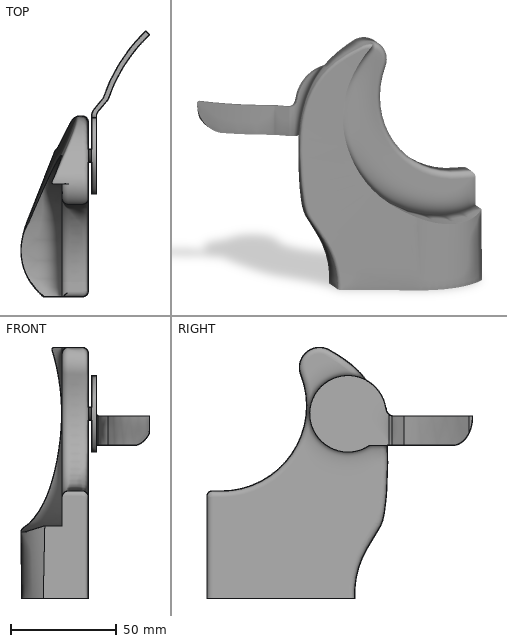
import cadquery as cq
import math

body_height = 119.2
plate_thickness = 12.5
bulge_reach = 37.8
edge_radius = 3.0
flank_radius = 1.5
front_top = 51.1
hook_tip = (53.5, body_height)
tip_radius = 9.6
throat_radius = 40.4
corner_radius = 2.5
tip_wrap = math.radians(29)
rear_curve = [(76.0, 103.0), (83.4, 87.1), (85.8, 60.5), (83.4, 36.8), (75.9, 23.6)]
waist_lean = math.radians(30)
base_depth = 70.2
overlap = 1.3

pivot_y = 67.0
pivot_z = 87.6
disc_radius = 18.2
pin_diameter = 6.3
sheet = 2.4
disc_gap = 1.5
lever_end = 126.1
arm_bottom = 72.6
arm_top = 86.6
flare = 3.5
tip_round_y = 9.5
tip_round_z = 13.9


def hook_prism(reach):
    """Side profile in YZ, extruded from the back face towards -X."""
    tip_centre = (hook_tip[0], hook_tip[1] - tip_radius)
    throat_centre_z = front_top + throat_radius
    rise = math.asin((tip_centre[1] - throat_centre_z) / (throat_radius + tip_radius))
    throat_centre_y = tip_centre[0] - (throat_radius + tip_radius) * math.cos(rise)
    arcs_meet = (tip_centre[0] - tip_radius * math.cos(rise), tip_centre[1] - tip_radius * math.sin(rise))
    rear_start = (tip_centre[0] + tip_radius * math.sin(tip_wrap),
                  tip_centre[1] + tip_radius * math.cos(tip_wrap))
    rear_tangents = [(math.cos(tip_wrap), -math.sin(tip_wrap)),
                     (-math.sin(waist_lean), -math.cos(waist_lean))]
    throat_mid = (math.pi / 2 - rise) / 2
    return (
        cq.Workplane("YZ")
        .lineTo(0, front_top)
        .lineTo(throat_centre_y, front_top)
        .threePointArc((throat_centre_y + throat_radius * math.sin(throat_mid),
                        throat_centre_z - throat_radius * math.cos(throat_mid)), arcs_meet)
        .threePointArc((tip_centre[0] - tip_radius, tip_centre[1]), rear_start)
        .spline(rear_curve, tangents=rear_tangents, includeCurrent=True)
        .tangentArcPoint((base_depth, 0), relative=False)
        .close()
        .extrude(-reach)
    )


def bulge_section(plane, nose_start, nose_peak, flank_start, flank_end):
    """Horizontal section of the bulge, from the front face round the nose and along the flank."""
    return (
        plane.moveTo(overlap, 0)
        .lineTo(*nose_start)
        .threePointArc(nose_peak, flank_start)
        .lineTo(*flank_end)
        .lineTo(overlap, flank_end[1])
        .close()
    )


def make_bulge():
    """The nose leans outwards with height while the flank leans inwards."""
    base = bulge_section(cq.Workplane("XY"), (-21.5, 0), (-31.7, 22.1), (-29.9, 33.8), (-8.5, 88.3))
    upper = bulge_section(base.workplane(offset=body_height), (-18.9, 0), (-33.3, 25.2),
                          (-24.6, 39.1), (-1.3, 88.3))
    return upper.loft(ruled=True, combine=True)


def recess_prism(start_x):
    """Space above the curved ledge, extruded from start_x towards -X."""
    return (
        cq.Workplane("YZ", origin=(start_x, 0, 0))
        .moveTo(-overlap, 34.9)
        .lineTo(0, 34.5)
        .spline([(17.2, 31.5), (36.3, 36.0), (53.5, 47.4), (64.3, 65.8), (67.1, 85.9),
                 (62.0, 105.2), hook_tip], includeCurrent=True)
        .lineTo(hook_tip[0], body_height + overlap)
        .lineTo(-overlap, body_height + overlap)
        .close()
        .extrude(-bulge_reach)
    )


def round_front_corner(prism):
    """Round the top corner of the front face."""
    low = (-bulge_reach, -overlap, front_top - overlap)
    high = (overlap, overlap, front_top + overlap)
    return prism.edges("|X").edges(cq.selectors.BoxSelector(low, high)).fillet(corner_radius)


def round_rim(prism, rim_side, lowest):
    """Round the edges of one flat face whose middle lies above the lowest height."""
    low = (-bulge_reach, -overlap, lowest)
    high = (overlap, lever_end, lever_end)
    return prism.faces(rim_side).edges().edges(cq.selectors.BoxSelector(low, high)).fillet(edge_radius)


def make_body():
    body = round_rim(round_front_corner(hook_prism(bulge_reach)), ">X", overlap)
    body = body.intersect(make_bulge())
    low = (-plate_thickness, pivot_y, front_top)
    high = (-edge_radius - overlap / 2, lever_end, body_height - overlap)
    body = body.edges(cq.selectors.BoxSelector(low, high)).fillet(flank_radius)

    plate = hook_prism(plate_thickness)
    rim_waste = plate.cut(round_rim(plate, "<X", front_top - overlap))
    body = body.cut(recess_prism(-plate_thickness))
    return body.cut(rim_waste.intersect(recess_prism(0)))


def make_lever():
    lever_plane = cq.Workplane("YZ", origin=(disc_gap, 0, 0))
    disc = lever_plane.center(pivot_y, pivot_z).circle(disc_radius).extrude(sheet)
    pin = (
        cq.Workplane("YZ", origin=(-overlap, 0, 0))
        .center(pivot_y, pivot_z)
        .circle(pin_diameter / 2)
        .extrude(overlap + disc_gap + sheet / 2)
    )
    bent_strip = (
        cq.Workplane("XY", origin=(0, 0, arm_bottom))
        .moveTo(disc_gap, pivot_y)
        .lineTo(disc_gap, 86.8)
        .lineTo(2.3, 88.5)
        .lineTo(6.9, 94.3)
        .threePointArc((15.0, 111.2), (27.1, lever_end))
        .lineTo(29.0, 124.3)
        .threePointArc((17.4, 110.5), (9.3, 93.6))
        .lineTo(4.4, 87.8)
        .lineTo(disc_gap + sheet, 86.5)
        .lineTo(disc_gap + sheet, pivot_y)
        .close()
        .extrude(disc_radius)
    )
    disc_edge = pivot_y + disc_radius
    flare_sag = flare * (1 - math.sqrt(0.5))
    arm_profile = (
        cq.Workplane("YZ")
        .moveTo(pivot_y, arm_bottom)
        .lineTo(lever_end - tip_round_y, arm_bottom)
        .ellipseArc(tip_round_y, tip_round_z, 270, 360, startAtCurrent=True)
        .lineTo(lever_end, arm_top)
        .lineTo(disc_edge + flare, arm_top)
        .threePointArc((disc_edge + flare_sag, arm_top + flare_sag), (disc_edge, arm_top + flare))
        .lineTo(pivot_y, arm_top + flare)
        .close()
        .extrude(bulge_reach)
    )
    return disc.union(pin).union(bent_strip.intersect(arm_profile))


result = make_body().union(make_lever())